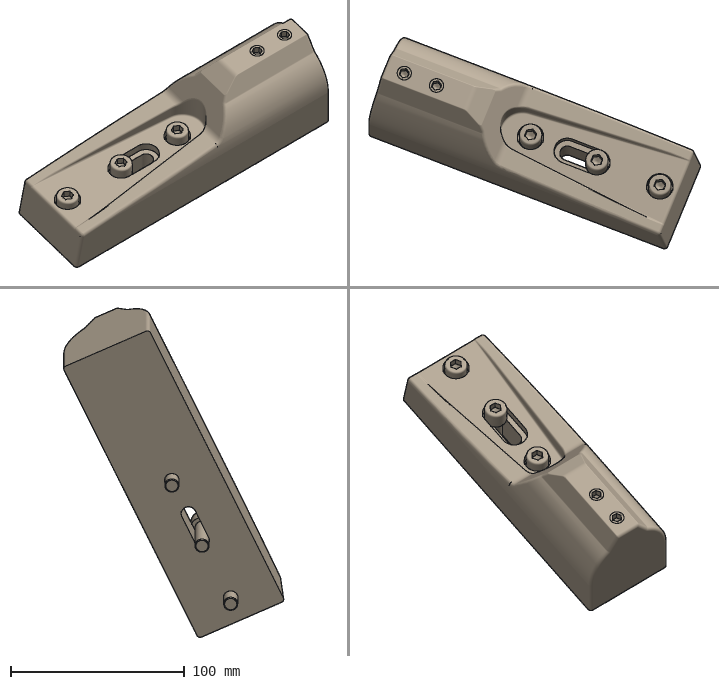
import cadquery as cq
import math

length = 185.0
width = 55.0
height = 58.0
side_height = 25.0

front_draft = 10.0
deck_slope = 5.0
deck_front_z = 24.8
valley_y = 106.2
shoulder_y = 121.0
shoulder_z = 51.6
ramp_slope = 30.0

ridge_half_width = 7.5
ridge_wall_angle = 35.0

edge_radius = 2.0
ridge_edge_radius = 0.7
ridge_root_radius = 1.7
valley_radius = 6.0
ramp_top_radius = 6.0

pocket_floor = 25.0
pocket_end_radius = 13.0
pocket_end_y = 99.7
pocket_flare = 4.8
pocket_radius = 1.1

socket_cone_angle = 30.0

cap_length = 38.7
cap_head_height = 10.2
cap_head_radius = 6.5
cap_head_fillet = 1.1
cap_shank_radius = 4.0
cap_shank_chamfer = 0.5
cap_socket_width = 6.0
cap_socket_depth = 4.0

counterbore_radius = 7.5
clearance_radius = 4.3
slot_length = 18.3
cap_low_top = 28.7
cap_high_top = 30.2
cap_places = (
    (95.0, cap_high_top, 0),
    (54.0, cap_high_top, slot_length),
    (15.0, cap_low_top, 0),
)

set_radius = 4.0
set_length = 10.0
set_socket_width = 5.0
set_socket_depth = 4.0
set_ys = (153.4, 173.3)

tolerance = 0.1


def tan_deg(angle):
    return math.tan(math.radians(angle))


def side_profile():
    """Outline of the housing in the YZ plane, extruded across the width."""
    front_top_y = deck_front_z * tan_deg(front_draft) / (1 - tan_deg(front_draft) * tan_deg(deck_slope))
    front_top_z = deck_front_z + front_top_y * tan_deg(deck_slope)
    valley_z = deck_front_z + valley_y * tan_deg(deck_slope)
    ramp_top_y = shoulder_y + (height - shoulder_z) / tan_deg(ramp_slope)
    points = [
        (0, 0),
        (front_top_y, front_top_z),
        (valley_y, valley_z),
        (shoulder_y, shoulder_z),
        (ramp_top_y, height),
        (length, height),
        (length, 0),
    ]
    body = cq.Workplane("YZ").polyline(points).close().extrude(width / 2, both=True)
    body = body.edges(cq.selectors.NearestToPointSelector((0, valley_y, valley_z))).fillet(valley_radius)
    return body.edges(cq.selectors.NearestToPointSelector((0, ramp_top_y, height))).fillet(ramp_top_radius)


def cross_section():
    """Outline in the XZ plane: flat sides, a half-round top and a ridge with sloping walls."""
    r = width / 2
    k = tan_deg(ridge_wall_angle)
    a = k * k + 1
    reach = ridge_half_width + k * (height - side_height)
    b = k * reach
    root_z = side_height + (b + math.sqrt(b * b - a * (reach**2 - r**2))) / a
    root_x = ridge_half_width + k * (height - root_z)
    mid = math.atan2(root_z - side_height, root_x) / 2
    mid_x = r * math.cos(mid)
    mid_z = side_height + r * math.sin(mid)
    section = (
        cq.Workplane("XZ")
        .moveTo(-r, 0)
        .lineTo(r, 0)
        .lineTo(r, side_height)
        .threePointArc((mid_x, mid_z), (root_x, root_z))
        .lineTo(ridge_half_width, height)
        .lineTo(-ridge_half_width, height)
        .lineTo(-root_x, root_z)
        .threePointArc((-mid_x, mid_z), (-r, side_height))
        .close()
        .extrude(-length)
    )
    for side in (1, -1):
        root = cq.selectors.NearestToPointSelector((side * root_x, length / 2, root_z))
        section = section.edges(root).fillet(ridge_root_radius)
    return section


def pocket_edge_x(y):
    """Half width of the pocket where its walls spread towards the front."""
    flare = math.radians(pocket_flare)
    return pocket_end_radius / math.cos(flare) + (pocket_end_y - y) * math.tan(flare)


def pocket_cutter():
    """Level floor with a rounded corner, half-round back end and walls spreading to the open front."""
    tangent_y = pocket_end_y + pocket_end_radius * math.sin(math.radians(pocket_flare))
    tangent_x = pocket_edge_x(tangent_y)
    front_y = -pocket_end_radius
    front_x = pocket_edge_x(front_y)
    cutter = (
        cq.Workplane("XY", origin=(0, 0, pocket_floor))
        .moveTo(-front_x, front_y)
        .lineTo(front_x, front_y)
        .lineTo(tangent_x, tangent_y)
        .threePointArc((0, pocket_end_y + pocket_end_radius), (-tangent_x, tangent_y))
        .close()
        .extrude(height)
    )
    floor_edges = [e for e in cutter.faces("<Z").edges().vals() if e.Center().y > 0]
    return cutter.newObject(floor_edges).fillet(pocket_radius)


def fillet_where(body, radius, belongs):
    """Round every edge whose midpoint (|x|, y, z) passes the test."""
    chosen = []
    for edge in body.edges().vals():
        middle = edge.positionAt(0.5)
        if belongs(abs(middle.x), middle.y, middle.z):
            chosen.append(edge)
    return body.newObject(chosen).fillet(radius)


def on_pocket_rim(x, y, z):
    if z < pocket_floor + pocket_radius / 4:
        return False
    if y > pocket_end_y + pocket_end_radius / 2:
        return abs(math.hypot(x, y - pocket_end_y) - pocket_end_radius) < tolerance
    return abs(x - pocket_edge_x(y)) < tolerance


def on_front_face(x, y, z):
    return z > 1.8 and abs(y - z * tan_deg(front_draft)) < tolerance


def on_back_rim(x, y, z):
    return z > 1.8 and y > length - tolerance


def on_deck_side(x, y, z):
    on_round_top = abs(math.hypot(x, z - side_height) - width / 2) < tolerance
    return on_round_top and z > side_height + 1.8 and y < shoulder_y - 3.7


def on_ridge_edge(x, y, z):
    wall_x = ridge_half_width + (height - z) * tan_deg(ridge_wall_angle)
    return abs(x - wall_x) < tolerance and z > shoulder_z and y < length - tolerance


def screw_seats():
    """Counterbores and clearance holes of the cap screws; the middle ones are slots running backwards."""
    cutters = []
    for y, head_top, travel in cap_places:
        for radius, bottom in ((counterbore_radius, head_top - cap_head_height), (clearance_radius, 0)):
            start = cq.Workplane("XY", origin=(0, y + travel / 2, bottom))
            if travel > 0:
                outline = start.slot2D(travel + 2 * radius, 2 * radius, 90)
            else:
                outline = start.circle(radius)
            cutters.append(outline.extrude(height))
    return cutters


def make_housing():
    body = side_profile().intersect(cross_section())
    body = fillet_where(body, edge_radius, on_deck_side)
    body = body.cut(pocket_cutter())
    body = fillet_where(body, edge_radius, on_front_face)
    body = fillet_where(body, pocket_radius, on_pocket_rim)
    body = fillet_where(body, ridge_edge_radius, on_ridge_edge)
    body = fillet_where(body, edge_radius, on_back_rim)
    for seat in screw_seats():
        body = body.cut(seat)
    for y in set_ys:
        hole = cq.Workplane("XY", origin=(0, y, height - set_length)).circle(set_radius).extrude(height)
        body = body.cut(hole)
    return body


def hex_socket(top, across_flats, depth):
    """Hexagonal recess with a conical bottom."""
    corner_radius = across_flats / math.sqrt(3)
    cone_depth = corner_radius * tan_deg(socket_cone_angle)
    prism = cq.Workplane("XY", origin=(0, 0, top - depth - cone_depth))
    prism = prism.polygon(6, 2 * corner_radius).extrude(depth + cone_depth)
    half_outline = [
        (0, top),
        (corner_radius, top),
        (corner_radius, top - depth),
        (0, top - depth - cone_depth),
    ]
    drill = cq.Workplane("XZ").polyline(half_outline).close().revolve(360, (0, 0, 0), (0, 1, 0))
    return prism.intersect(drill)


def make_cap_screw(y, top):
    shank = cq.Workplane("XY", origin=(0, 0, top - cap_length)).circle(cap_shank_radius)
    shank = shank.extrude(cap_length - cap_head_height).faces("<Z").edges().chamfer(cap_shank_chamfer)
    head = cq.Workplane("XY", origin=(0, 0, top - cap_head_height)).circle(cap_head_radius)
    head = head.extrude(cap_head_height).faces(">Z").edges().fillet(cap_head_fillet)
    socket = hex_socket(top, cap_socket_width, cap_socket_depth)
    return head.union(shank).cut(socket).translate((0, y, 0))


def make_set_screw(y):
    screw = cq.Workplane("XY", origin=(0, 0, height - set_length)).circle(set_radius).extrude(set_length)
    return screw.cut(hex_socket(height, set_socket_width, set_socket_depth)).translate((0, y, 0))


housing = make_housing()
cap_screws = [make_cap_screw(y, head_top) for y, head_top, _ in cap_places]
set_screws = [make_set_screw(y) for y in set_ys]

result = cq.Compound.makeCompound([body.val() for body in [housing, *cap_screws, *set_screws]])